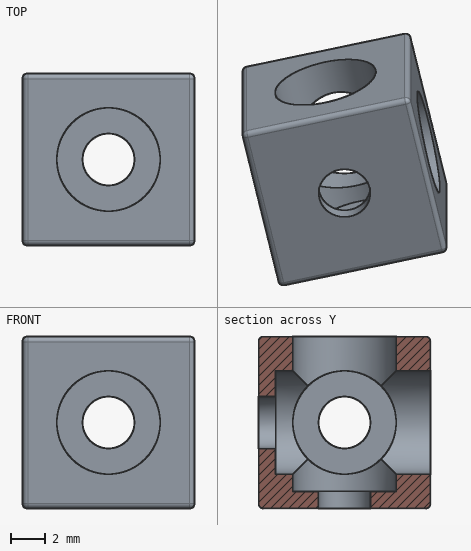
import cadquery as cq

side = 10.0
edge_radius = 0.3
through_diameter = 3.0
counterbore_diameter = 6.0
counterbore_depth = 9.0

half_side = side / 2


def bore(diameter, depth, outward):
    """Cylinder entering the cube through the centre of the face with this outward normal."""
    start = outward * half_side
    return cq.Workplane(cq.Solid.makeCylinder(diameter / 2, depth, start, -outward))


result = cq.Workplane("XY").box(side, side, side).edges().fillet(edge_radius)

wide_end_normals = [
    cq.Vector(1, 0, 0),
    cq.Vector(0, -1, 0),
    cq.Vector(0, 0, 1),
]
for normal in wide_end_normals:
    result = result.cut(bore(counterbore_diameter, counterbore_depth, normal))
    result = result.cut(bore(through_diameter, side, normal))